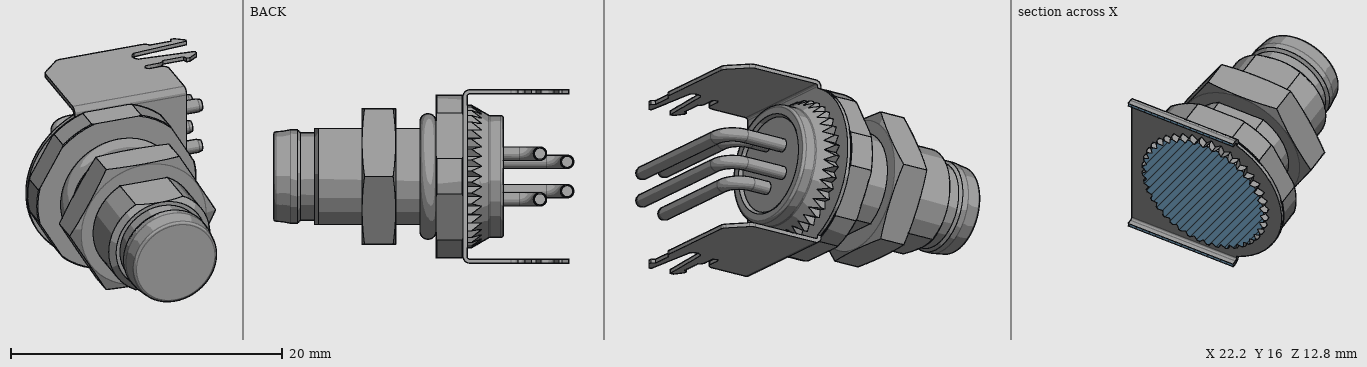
import cadquery as cq
import math


PIN_DIAMETER = 1.0
PIN_BEND_RADIUS = 1.5
PIN_END_Y = 9.64
PIN_TIP_LENGTH = 0.29
PIN_TIP_INSET = 0.09
PIN_CIRCLE_RADIUS = 1.77
OUTER_PIN_X = PIN_DIAMETER / 2
OUTER_PIN_Z = 1.09
INNER_PIN_X = 2.5
INNER_PIN_Z = 1.68

BARREL_START_X = 5.2
BARREL_DIAMETER = 9.0
BARREL_ROUNDING = 0.2
RECESS_RIM_DIAMETER = 7.58
RECESS_FLOOR_DIAMETER = 7.2
RECESS_DEPTH = 0.27

CONE_START_X = 6.25
CONE_END_X = 7.55
KNURL_TIP_RADIUS = 5.27
KNURL_ROOT_RADIUS = 4.83
KNURL_TEETH = 40

SHEET = 0.3
BRACKET_HEIGHT = 12.8
BRACKET_BEND_RADIUS = 0.49
PLATE_FRONT_X = 8.17
LEG_END_X = 0.38
LEG_BOTTOM_Y = -2.53
LEG_BEVEL = 1.6
LEG_ROUNDING = 0.6
LEG_CORNER_RADIUS = 0.5
PRONG_CENTER_X = 2.0
PRONG_HALF_WIDTH = PRONG_CENTER_X - LEG_END_X
PRONG_NECK_HALF_WIDTH = 1.33
PRONG_TOP_Y = 9.05
TIP_OUTER_HALF_WIDTH = 1.13
BARB_TOP_Y = 8.35
BARB_BOTTOM_Y = 8.08
NECK_TOP_Y = 7.95
NECK_BOTTOM_Y = 6.31
SHOULDER_Y = 6.1
SLIT_CENTER_X = 1.95
SLIT_TOP_HALF_WIDTH = 0.86
SLIT_HALF_WIDTH = 0.49
SLIT_ARC_Y = 4.75
SLIT_BOTTOM_Y = 4.45
NOTCH_WIDTH = 0.5
NOTCH_BOTTOM_Y = 4.7

FLANGE_DIAMETER = 12.63
FLANGE_ACROSS_FLATS = 12.0
FLANGE_FRONT_X = 10.17
FLANGE_CHAMFER = 0.07

RING_SECTION = 1.2
RING_OUTER_DIAMETER = 9.28

SLEEVE_DIAMETER = 8.02
SLEEVE_ACROSS_FLATS = 7.09
SLEEVE_FRONT_X = 19.14
SLEEVE_CHAMFER_LENGTH = 0.3
SLEEVE_END_DIAMETER = 7.09

NECK_DIAMETER = 6.5
NECK_FRONT_X = 20.18
HEAD_DIAMETER = 6.9
HEAD_START_X = 20.4
HEAD_TAPER_X = 20.9
HEAD_FRONT_X = 22.15
HEAD_FRONT_DIAMETER = 6.55
HEAD_ROUNDING = 0.2

NUT_START_X = 13.13
NUT_WIDTH = 2.5
NUT_ACROSS_FLATS = 10.01
NUT_FACE_DIAMETER = 9.88
NUT_CHAMFER_LENGTH = 0.2

PLATE_BACK_X = PLATE_FRONT_X - SHEET
RING_CENTER_X = FLANGE_FRONT_X + RING_SECTION / 2
RING_CENTER_RADIUS = (RING_OUTER_DIAMETER - RING_SECTION) / 2
RING_INNER_DIAMETER = RING_OUTER_DIAMETER - 2 * RING_SECTION


def revolve_about_axis(profile):
    """Revolve an (x, radius) profile, closed along the axis, about X."""
    points = [(profile[0][0], 0), *profile, (profile[-1][0], 0)]
    return cq.Workplane("XY").polyline(points).close().revolve(360, (0, 0, 0), (1, 0, 0))


def disc(start_x, end_x, diameter):
    """A plain cylinder along X."""
    return revolve_about_axis([(start_x, diameter / 2), (end_x, diameter / 2)])


def hexagon(start_x, length, across_flats):
    """A hexagonal prism along X with two of its corners on the Y axis."""
    corner_diameter = across_flats / math.cos(math.pi / 6)
    return cq.Workplane("YZ", origin=(start_x, 0, 0)).polygon(6, corner_diameter).extrude(length)


def make_barrel():
    """The barrel and the cone it widens into, with the recess for the pins."""
    barrel = revolve_about_axis(
        [
            (BARREL_START_X, BARREL_DIAMETER / 2),
            (CONE_START_X, BARREL_DIAMETER / 2),
            (CONE_END_X, KNURL_TIP_RADIUS),
            (PLATE_BACK_X, KNURL_TIP_RADIUS),
        ]
    )
    rear_rim = barrel.faces("<X").edges()
    cone_foot = barrel.edges(cq.NearestToPointSelector((CONE_START_X, 0, 0)))
    barrel = barrel.newObject(rear_rim.vals() + cone_foot.vals()).fillet(BARREL_ROUNDING)
    recess = revolve_about_axis(
        [
            (BARREL_START_X, RECESS_RIM_DIAMETER / 2),
            (BARREL_START_X + RECESS_DEPTH, RECESS_FLOOR_DIAMETER / 2),
        ]
    )
    return barrel.intersect(make_toothed_bar()).cut(recess)


def make_toothed_bar():
    """A star-shaped prism along X, whose V grooves cut the teeth into the cone."""
    half_pitch = math.pi / KNURL_TEETH
    star = []
    for i in range(KNURL_TEETH):
        root_angle = 2 * i * half_pitch
        tip_angle = root_angle + half_pitch
        star.append((KNURL_ROOT_RADIUS * math.cos(root_angle), KNURL_ROOT_RADIUS * math.sin(root_angle)))
        star.append((KNURL_TIP_RADIUS * math.cos(tip_angle), KNURL_TIP_RADIUS * math.sin(tip_angle)))
    bar_length = PLATE_BACK_X - BARREL_START_X
    return cq.Workplane("YZ", origin=(BARREL_START_X, 0, 0)).polyline(star).close().extrude(bar_length)


def make_leg_block():
    """A full-height block with the outline of a leg and its split snap-in prong."""
    center = PRONG_CENTER_X
    top_y = FLANGE_DIAMETER / 2
    notch_left = center + PRONG_HALF_WIDTH
    notch_right = notch_left + NOTCH_WIDTH
    notch_arc_y = NOTCH_BOTTOM_Y + NOTCH_WIDTH / 2

    def prong_side(side):
        """Points on the outside of one prong half, from the shoulder up and over the tip."""
        return [
            (center + side * PRONG_HALF_WIDTH, SHOULDER_Y),
            (center + side * PRONG_NECK_HALF_WIDTH, NECK_BOTTOM_Y),
            (center + side * PRONG_NECK_HALF_WIDTH, NECK_TOP_Y),
            (center + side * PRONG_HALF_WIDTH, BARB_BOTTOM_Y),
            (center + side * PRONG_HALF_WIDTH, BARB_TOP_Y),
            (center + side * TIP_OUTER_HALF_WIDTH, PRONG_TOP_Y),
            (SLIT_CENTER_X + side * SLIT_TOP_HALF_WIDTH, PRONG_TOP_Y),
        ]

    outline = cq.Workplane("XY").moveTo(PLATE_FRONT_X, LEG_BOTTOM_Y)
    outline = outline.lineTo(LEG_END_X + LEG_BEVEL, LEG_BOTTOM_Y)
    outline = outline.lineTo(LEG_END_X, LEG_BOTTOM_Y + LEG_BEVEL)
    for point in prong_side(-1):
        outline = outline.lineTo(*point)
    outline = outline.lineTo(SLIT_CENTER_X - SLIT_HALF_WIDTH, SLIT_ARC_Y)
    outline = outline.threePointArc(
        (SLIT_CENTER_X, SLIT_BOTTOM_Y), (SLIT_CENTER_X + SLIT_HALF_WIDTH, SLIT_ARC_Y)
    )
    for point in reversed(prong_side(1)):
        outline = outline.lineTo(*point)
    outline = outline.lineTo(notch_left, notch_arc_y)
    outline = outline.threePointArc(
        (notch_left + NOTCH_WIDTH / 2, NOTCH_BOTTOM_Y), (notch_right, notch_arc_y)
    )
    outline = outline.lineTo(notch_right, top_y - LEG_CORNER_RADIUS)
    outline = outline.radiusArc((notch_right + LEG_CORNER_RADIUS, top_y), LEG_CORNER_RADIUS)
    outline = outline.lineTo(PLATE_FRONT_X, top_y).close()
    block = outline.extrude(BRACKET_HEIGHT / 2, both=True)

    rounded_corners = [
        (LEG_END_X + LEG_BEVEL, LEG_BOTTOM_Y),
        (LEG_END_X, LEG_BOTTOM_Y + LEG_BEVEL),
        (center - PRONG_HALF_WIDTH, SHOULDER_Y),
        (center + PRONG_HALF_WIDTH, SHOULDER_Y),
    ]
    for x, y in rounded_corners:
        corner = cq.NearestToPointSelector((x, y, 0))
        block = block.edges("|Z").edges(corner).fillet(LEG_ROUNDING)
    return block


def make_bracket():
    """A U-shaped strip whose plate is rounded below and whose legs carry the prongs."""
    top_y = FLANGE_DIAMETER / 2
    half_height = BRACKET_HEIGHT / 2
    channel_length = PLATE_FRONT_X - LEG_END_X
    strip_center = ((LEG_END_X + PLATE_FRONT_X) / 2, 0, 0)
    outer = cq.Workplane("XY").box(channel_length, 4 * top_y, BRACKET_HEIGHT).translate(strip_center)
    outer = outer.edges("|Y and >X").fillet(BRACKET_BEND_RADIUS)
    inner = cq.Workplane("XY").box(channel_length, 4 * top_y, BRACKET_HEIGHT - 2 * SHEET)
    inner = inner.translate(strip_center).translate((-SHEET, 0, 0))
    inner = inner.edges("|Y and >X").fillet(BRACKET_BEND_RADIUS - SHEET)
    channel = outer.cut(inner)

    plate_area = disc(PLATE_BACK_X, PLATE_FRONT_X, FLANGE_DIAMETER)
    leg_edge_z = half_height - BRACKET_BEND_RADIUS
    below_legs = cq.Workplane("XY").box(2 * PLATE_FRONT_X, 2 * top_y, 2 * leg_edge_z)
    return channel.intersect(make_leg_block().union(plate_area.intersect(below_legs)))


def make_flange():
    radius = FLANGE_DIAMETER / 2
    blank = revolve_about_axis(
        [
            (PLATE_FRONT_X, radius - FLANGE_CHAMFER),
            (PLATE_FRONT_X + FLANGE_CHAMFER, radius),
            (FLANGE_FRONT_X - FLANGE_CHAMFER, radius),
            (FLANGE_FRONT_X, radius - FLANGE_CHAMFER),
        ]
    )
    return blank.intersect(hexagon(PLATE_FRONT_X, FLANGE_FRONT_X - PLATE_FRONT_X, FLANGE_ACROSS_FLATS))


def with_sleeve_flats(round_bar):
    """Cut the upper and lower flats of the sleeve into a round bar along X."""
    flats = cq.Workplane("XY").box(2 * SLEEVE_FRONT_X, SLEEVE_DIAMETER, SLEEVE_ACROSS_FLATS)
    return round_bar.intersect(flats)


def make_sleeve():
    """The threaded sleeve, with a narrower seat for the O-ring behind it."""
    radius = SLEEVE_DIAMETER / 2
    seat_end_x = FLANGE_FRONT_X + RING_SECTION
    sleeve = revolve_about_axis(
        [
            (seat_end_x, radius),
            (SLEEVE_FRONT_X - SLEEVE_CHAMFER_LENGTH, radius),
            (SLEEVE_FRONT_X, SLEEVE_END_DIAMETER / 2),
        ]
    )
    seat = disc(FLANGE_FRONT_X, seat_end_x, RING_INNER_DIAMETER)
    return with_sleeve_flats(sleeve).union(seat)


def make_head():
    head = revolve_about_axis(
        [
            (SLEEVE_FRONT_X, NECK_DIAMETER / 2),
            (NECK_FRONT_X, NECK_DIAMETER / 2),
            (HEAD_START_X, HEAD_DIAMETER / 2),
            (HEAD_TAPER_X, HEAD_DIAMETER / 2),
            (HEAD_FRONT_X, HEAD_FRONT_DIAMETER / 2),
        ]
    )
    return head.faces(">X").edges().fillet(HEAD_ROUNDING)


def make_pin(leg_x, root_y, root_z):
    """A round pin leaving the connector along -X and bending towards +Y."""
    root_x = BARREL_START_X + RECESS_DEPTH
    bend_end_y = root_y + PIN_BEND_RADIUS
    bend_start_x = leg_x + PIN_BEND_RADIUS
    arc_offset = PIN_BEND_RADIUS * (1 - math.sqrt(0.5))
    path = (
        cq.Workplane("XY", origin=(0, 0, root_z))
        .moveTo(root_x, root_y)
        .lineTo(bend_start_x, root_y)
        .threePointArc((leg_x + arc_offset, root_y + arc_offset), (leg_x, bend_end_y))
        .lineTo(leg_x, PIN_END_Y)
    )
    pin = cq.Workplane("YZ", origin=(root_x, root_y, root_z)).circle(PIN_DIAMETER / 2).sweep(path)
    return pin.faces(">Y").chamfer(PIN_TIP_LENGTH, PIN_TIP_INSET)


def make_connector():
    connector = make_barrel()
    for section in (make_bracket(), make_flange(), make_sleeve(), make_head()):
        connector = connector.union(section)
    outer_pin_y = -math.sqrt(PIN_CIRCLE_RADIUS**2 - OUTER_PIN_Z**2)
    inner_pin_y = math.sqrt(PIN_CIRCLE_RADIUS**2 - INNER_PIN_Z**2)
    for side in (-1, 1):
        connector = connector.union(make_pin(OUTER_PIN_X, outer_pin_y, side * OUTER_PIN_Z))
        connector = connector.union(make_pin(INNER_PIN_X, inner_pin_y, side * INNER_PIN_Z))
    return connector


def make_o_ring():
    return (
        cq.Workplane("XY")
        .center(RING_CENTER_X, RING_CENTER_RADIUS)
        .circle(RING_SECTION / 2)
        .revolve(360, (0, -RING_CENTER_RADIUS, 0), (1, -RING_CENTER_RADIUS, 0))
    )


def make_nut():
    """A hexagon nut, chamfered by a cone at both ends, whose bore fits the flatted sleeve."""
    nut_end_x = NUT_START_X + NUT_WIDTH
    corner_radius = NUT_ACROSS_FLATS / 2 / math.cos(math.pi / 6)
    chamfered_blank = revolve_about_axis(
        [
            (NUT_START_X, NUT_FACE_DIAMETER / 2),
            (NUT_START_X + NUT_CHAMFER_LENGTH, corner_radius),
            (nut_end_x - NUT_CHAMFER_LENGTH, corner_radius),
            (nut_end_x, NUT_FACE_DIAMETER / 2),
        ]
    )
    nut = hexagon(NUT_START_X, NUT_WIDTH, NUT_ACROSS_FLATS).intersect(chamfered_blank)
    return nut.cut(with_sleeve_flats(disc(NUT_START_X, nut_end_x, SLEEVE_DIAMETER)))


connector = make_connector()
o_ring = make_o_ring()
nut = make_nut()

result = cq.Compound.makeCompound([connector.solids().val(), o_ring.val(), nut.solids().val()])